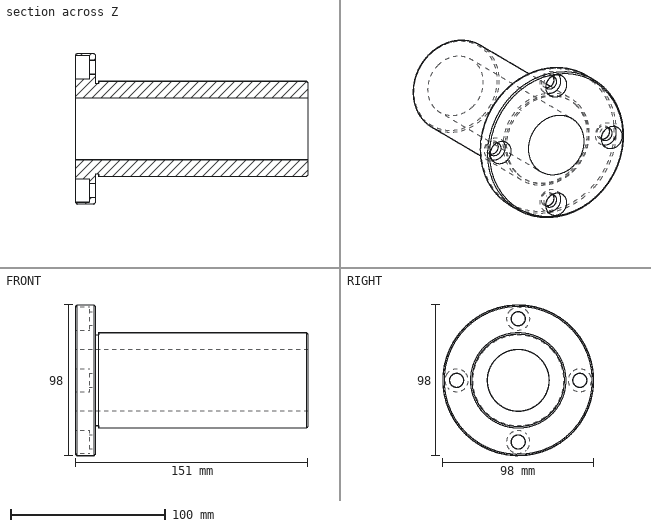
import cadquery as cq

total_length = 151.0
flange_diameter = 98.0
flange_thickness = 13.0
flange_chamfer = 1.0

barrel_diameter = 62.0
barrel_end_chamfer = 1.0
bore_diameter = 40.0

relief_width = 2.0
relief_depth = 1.5

bolt_count = 4
bolt_circle_diameter = 80.0
bolt_hole_diameter = 9.0
counterbore_diameter = 15.0
counterbore_depth = 9.0

axis_plane = cq.Workplane("YZ")


def make_flange():
    disc = axis_plane.circle(flange_diameter / 2).extrude(flange_thickness)
    return disc.edges().chamfer(flange_chamfer)


def make_barrel():
    """Turned barrel with a reduced neck where it meets the flange."""
    neck_diameter = barrel_diameter - 2 * relief_depth
    neck_end = flange_thickness + relief_width
    neck = axis_plane.circle(neck_diameter / 2).extrude(neck_end)
    sleeve = (
        axis_plane.workplane(offset=neck_end)
        .circle(barrel_diameter / 2)
        .extrude(total_length - neck_end)
        .faces(">X")
        .edges()
        .chamfer(barrel_end_chamfer)
    )
    return neck.union(sleeve)


def cut_bore(body):
    bore = axis_plane.circle(bore_diameter / 2).extrude(total_length)
    return body.cut(bore)


def cut_mounting_holes(body):
    def bolt_pattern(diameter, depth):
        return (
            axis_plane.polarArray(bolt_circle_diameter / 2, 0, 360, bolt_count)
            .circle(diameter / 2)
            .extrude(depth)
        )

    through_holes = bolt_pattern(bolt_hole_diameter, flange_thickness)
    counterbores = bolt_pattern(counterbore_diameter, counterbore_depth)
    return body.cut(through_holes).cut(counterbores)


result = make_flange().union(make_barrel())
result = cut_bore(result)
result = cut_mounting_holes(result)